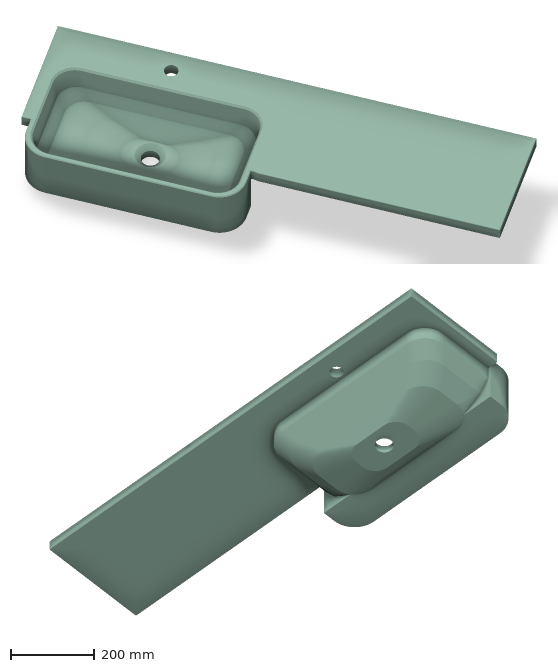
import cadquery as cq


top_length = 1200.0
top_depth = 300.0
top_thickness = 30.0
top_edge_round = 2.0

front_setback = 2.0
ramp_start = 582.0
ramp_end = 594.0

basin_x = 299.0
tap_x = 301.0
overall_depth = 401.0
overall_height = 163.0

apron_width = 552.0
apron_height = 135.0
apron_radius = 67.0
apron_edge_round = 2.0

tap_diameter = 35.0
tap_setback = 55.0
drain_setback = 218.0
drain_diameter = 46.0
drain_recess_diameter = 76.0
drain_recess_depth = 12.0

rim_width = 528.0
rim_back = 110.0
rim_front = 390.0
rim_radius = 60.0
rim_chamfer = 5.0

wall_bottom = -66.0
wall_outline = (538.0, 80.0, 394.0, 60.0)

outer_sections = [
    (0.0, *wall_outline),
    (wall_bottom, *wall_outline),
    (-100.0, 487.0, 112.0, 360.0, 60.0),
    (-apron_height, 401.0, 144.0, 320.0, 60.0),
    (-overall_height, 173.0, 170.0, 276.0, 42.0),
]
cavity_floor = -130.0
cavity_sections = [
    (0.0, rim_width, rim_back, rim_front, rim_radius),
    (
        -rim_chamfer,
        rim_width - 2 * rim_chamfer,
        rim_back + rim_chamfer,
        rim_front - rim_chamfer,
        rim_radius - rim_chamfer,
    ),
    (-54.0, 497.0, 125.0, 380.0, 50.0),
    (-84.0, 449.0, 139.0, 367.0, 50.0),
    (-108.0, 312.0, 158.0, 312.0, 50.0),
    (cavity_floor, 144.0, 176.0, 264.0, 41.0),
]


def rounded_section(height, width, back, front, radius):
    """Closed rounded rectangle at one level of the bowl."""
    block_height = 12.0
    block = (
        cq.Workplane("XY", origin=(basin_x, -(back + front) / 2, height))
        .box(width, front - back, block_height, centered=(True, True, False))
        .edges("|Z").fillet(radius)
    )
    return block.faces("<Z").wires().val()


def stacked_bowl(sections):
    """Solid with straight walls between successive rounded rectangles."""
    body = None
    for upper, lower in zip(sections, sections[1:]):
        wires = [rounded_section(*s) for s in (upper, lower)]
        layer = cq.Workplane(cq.Solid.makeLoft(wires, True))
        body = layer if body is None else body.union(layer)
    return body


def countertop():
    near_front = -top_depth + front_setback
    slab = (
        cq.Workplane("XY", origin=(0, 0, -top_thickness))
        .polyline([
            (0, 0),
            (top_length, 0),
            (top_length, -top_depth),
            (ramp_end, -top_depth),
            (ramp_start, near_front),
            (0, near_front),
        ])
        .close()
        .extrude(top_thickness)
    )
    return slab.faces(">Z").edges().fillet(top_edge_round)


def apron():
    back = top_depth - front_setback
    depth = overall_depth - back
    block = (
        cq.Workplane("XY", origin=(basin_x, -back - depth / 2, -apron_height))
        .box(apron_width, depth, apron_height, centered=(True, True, False))
        .edges("|Z and <Y").fillet(apron_radius)
    )
    return block.faces(">Z").edges("not >Y").chamfer(apron_edge_round)


def drain_cutter():
    outlet = cq.Workplane("XY", origin=(basin_x, -drain_setback, -overall_height)).circle(
        drain_diameter / 2).extrude(overall_height)
    recess = cq.Workplane(cq.Solid.makeCone(
        drain_recess_diameter / 2, drain_diameter / 2, drain_recess_depth,
        cq.Vector(basin_x, -drain_setback, cavity_floor), cq.Vector(0, 0, -1)))
    return outlet.union(recess)


tap_hole = (
    cq.Workplane("XY", origin=(tap_x, -tap_setback, -top_thickness))
    .circle(tap_diameter / 2)
    .extrude(top_thickness)
)

outer_body = countertop().union(apron()).union(stacked_bowl(outer_sections))
result = outer_body.cut(stacked_bowl(cavity_sections)).cut(drain_cutter()).cut(tap_hole)